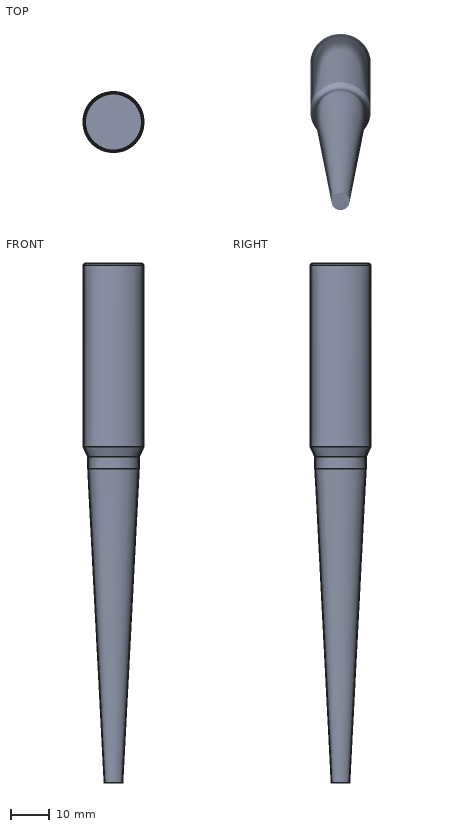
import cadquery as cq
import math

INCH = 25.4

overall_length = 5.375 * INCH
shank_diameter = 0.625 * INCH
shank_chamfer = 0.5

cut_length = 3.25 * INCH
tip_diameter = 0.1875 * INCH
taper_angle = 3.0

neck_length = 0.125 * INCH
shoulder_length = 2.6

shank_radius = shank_diameter / 2
tip_radius = tip_diameter / 2
neck_radius = tip_radius + cut_length * math.tan(math.radians(taper_angle))

neck_top = cut_length + neck_length
shoulder_top = neck_top + shoulder_length


def revolve_about_z(profile):
    """Revolve a closed (radius, height) profile about the Z axis."""
    return cq.Workplane("XZ").polyline(profile).close().revolve(360, (0, 0, 0), (0, 1, 0))


def make_cutter():
    """Cone that widens from the flat tip up to the neck."""
    return revolve_about_z([
        (0, 0),
        (tip_radius, 0),
        (neck_radius, cut_length),
        (0, cut_length),
    ])


def make_shank():
    """Cylindrical neck, conical shoulder and shank with a chamfered end."""
    return revolve_about_z([
        (0, cut_length),
        (neck_radius, cut_length),
        (neck_radius, neck_top),
        (shank_radius, shoulder_top),
        (shank_radius, overall_length - shank_chamfer),
        (shank_radius - shank_chamfer, overall_length),
        (0, overall_length),
    ])


cutter = make_cutter()
shank = make_shank()

result = cq.Compound.makeCompound([cutter.val(), shank.val()])